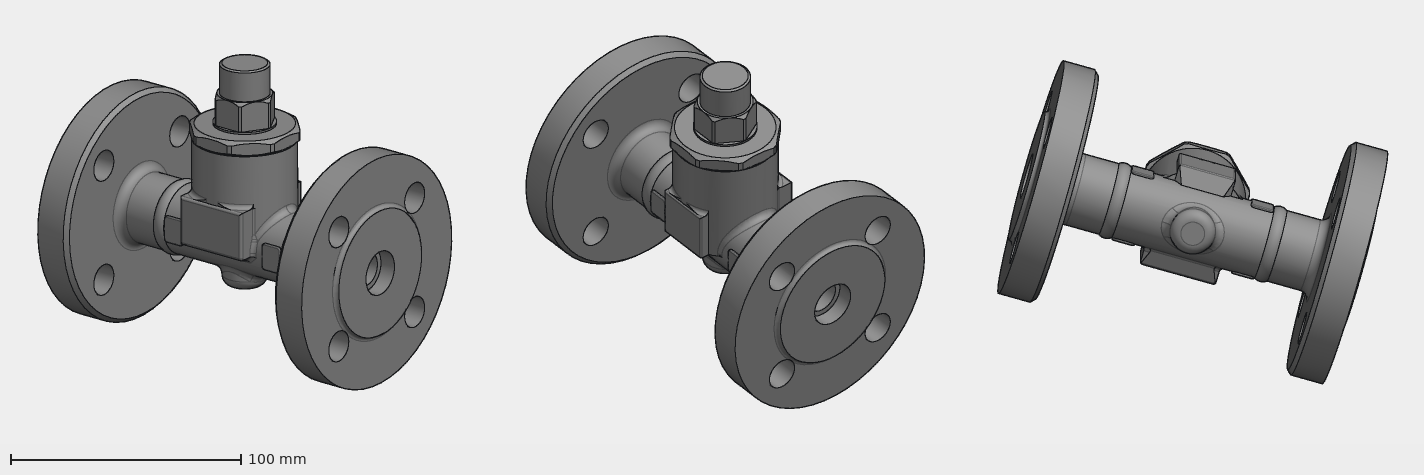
import cadquery as cq
import math

DIAGONAL = math.sqrt(0.5)
EDGE_TOLERANCE = 0.2

HALF_LENGTH = 75.0
FLANGE_DIAMETER = 105.0
FLANGE_INNER_X = 57.0
FLANGE_CHAMFER = 2.0
FACE_HEIGHT = 2.0
FACE_DIAMETER = 57.9
FACE_FILLET = FACE_HEIGHT
BOLT_CIRCLE_DIAMETER = 75.0
BOLT_HOLE_DIAMETER = 14.0
BOLT_HOLE_COUNT = 4
FIRST_BOLT_ANGLE = 45.0

PIPE_DIAMETER = 32.0
NECK_FILLET = 4.0
BEAD_DIAMETER = 33.9
BEAD_CENTER_X = 35.1
BEAD_HALF_WIDTH = 2.8

MOUTH_DIAMETER = 20.0
MOUTH_DEPTH = 7.5
BORE_DIAMETER = 15.0

BODY_DIAMETER = 46.0
BODY_TOP = 45.0
BODY_FILLET = 3.0
CAP_TOP = 51.9
CAP_FLATS = 46.5
CAP_CORNER_DIAMETER = 49.5
CAP_FACE_DIAMETER = 44.1
CAP_CHAMFER_ANGLE = 30.0
WASHER_DIAMETER = 27.8
WASHER_TOP = 52.8
NUT_TOP = 66.0
NUT_FLATS = 24.3
NUT_CORNER_DIAMETER = 27.3
NUT_FACE_DIAMETER = 24.3
NUT_CHAMFER_ANGLE = 45.0
STEM_DIAMETER = 22.0
STEM_TOP_DIAMETER = 20.0
STEM_TOP = 80.0
STEM_CHAMFER_HEIGHT = 0.6

BOSS_DIAMETER = 20.0
BOSS_BOTTOM = -23.0
BOSS_EDGE_FILLET = 4.8
BOSS_EDGE_TOP = BOSS_BOTTOM + BOSS_EDGE_FILLET
BOSS_ROOT_FILLET = 4.0

BLOCK_TOP = 20.8
BLOCK_BOTTOM = -1.0
BLOCK_DRAFT_DROP = 3.3
BLOCK_ROOT_Y = 15.0
BLOCK_ROOT_FILLET = 2.0
FRONT_BLOCK_WIDTH = 34.0
FRONT_BLOCK_Y = 24.0
FRONT_BLOCK_FILLET = 1.2
BACK_BLOCK_WIDTH = 25.4
BACK_BLOCK_Y = 23.7
BACK_BLOCK_FILLET = 0.8

PAD_CENTER_X = 27.0
PAD_WIDTH = 10.2
PAD_HEIGHT = 12.2
PAD_CORNER_RADIUS = 1.6
PAD_EDGE_FILLET = 0.5


def upright_cylinder(diameter, bottom, top):
    return cq.Workplane("XY").workplane(offset=bottom).circle(diameter / 2).extrude(top - bottom)


def make_pipe_end():
    """Pipe half, bead, neck and flange on the +X side, without holes."""
    pipe_r = PIPE_DIAMETER / 2
    flange_r = FLANGE_DIAMETER / 2
    face_r = FACE_DIAMETER / 2
    flange_outer_x = HALF_LENGTH - FACE_HEIGHT
    arc_offset = 1 - DIAGONAL
    bead_start = BEAD_CENTER_X - BEAD_HALF_WIDTH
    bead_end = BEAD_CENTER_X + BEAD_HALF_WIDTH
    neck_start = FLANGE_INNER_X - NECK_FILLET
    profile = (
        cq.Workplane("XZ")
        .moveTo(0, 0)
        .lineTo(0, pipe_r)
        .lineTo(bead_start, pipe_r)
        .threePointArc((BEAD_CENTER_X, BEAD_DIAMETER / 2), (bead_end, pipe_r))
        .lineTo(neck_start, pipe_r)
        .threePointArc(
            (FLANGE_INNER_X - arc_offset * NECK_FILLET, pipe_r + arc_offset * NECK_FILLET),
            (FLANGE_INNER_X, pipe_r + NECK_FILLET),
        )
        .lineTo(FLANGE_INNER_X, flange_r - FLANGE_CHAMFER)
        .lineTo(FLANGE_INNER_X + FLANGE_CHAMFER, flange_r)
        .lineTo(flange_outer_x, flange_r)
        .lineTo(flange_outer_x, face_r + FACE_FILLET)
        .threePointArc(
            (flange_outer_x + arc_offset * FACE_FILLET, face_r + arc_offset * FACE_FILLET),
            (HALF_LENGTH, face_r),
        )
        .lineTo(HALF_LENGTH, 0)
        .close()
    )
    return profile.revolve(360, (0, 0, 0), (1, 0, 0))


def make_end_holes():
    """Bolt holes and the stepped bore of the +X end."""
    holes = (
        cq.Workplane("YZ", origin=(FLANGE_INNER_X, 0, 0))
        .polarArray(BOLT_CIRCLE_DIAMETER / 2, FIRST_BOLT_ANGLE, 360, BOLT_HOLE_COUNT)
        .circle(BOLT_HOLE_DIAMETER / 2)
        .extrude(HALF_LENGTH - FLANGE_INNER_X)
    )
    end_plane = cq.Workplane("YZ", origin=(HALF_LENGTH, 0, 0))
    bore_depth = HALF_LENGTH - BODY_DIAMETER / 2
    mouth = end_plane.circle(MOUTH_DIAMETER / 2).extrude(-MOUTH_DEPTH)
    bore = end_plane.circle(BORE_DIAMETER / 2).extrude(-bore_depth)
    return holes.union(mouth).union(bore)


def both_ends(shape):
    """The +X shape together with its mirror image at -X."""
    return shape.union(shape.mirror("YZ"))


def make_block(width, face_y, edge_fillet):
    """Block facing -Y with a sloping, side-chamfered underside and rounded front edges."""
    root_bottom = BLOCK_BOTTOM - BLOCK_DRAFT_DROP
    side_profile = (
        cq.Workplane("YZ", origin=(-width / 2, 0, 0))
        .moveTo(0, BLOCK_TOP)
        .lineTo(-face_y, BLOCK_TOP)
        .lineTo(-face_y, BLOCK_BOTTOM)
        .lineTo(-BLOCK_ROOT_Y, root_bottom)
        .lineTo(0, root_bottom)
        .close()
        .extrude(width)
    )
    front_profile = (
        cq.Workplane("XZ")
        .moveTo(-width / 2, BLOCK_TOP)
        .lineTo(width / 2, BLOCK_TOP)
        .lineTo(width / 2, BLOCK_BOTTOM)
        .lineTo(width / 2 - BLOCK_DRAFT_DROP, root_bottom)
        .lineTo(-width / 2 + BLOCK_DRAFT_DROP, root_bottom)
        .lineTo(-width / 2, BLOCK_BOTTOM)
        .close()
        .extrude(face_y)
    )
    block = side_profile.intersect(front_profile)
    return block.faces("<Y").edges().fillet(edge_fillet)


def make_block_collar(width, face_y, edge_fillet):
    """Concave blend between the top of a -Y block and the round body."""
    body_r = BODY_DIAMETER / 2
    rim_r = body_r + BLOCK_ROOT_FILLET
    rim_z = BLOCK_TOP + BLOCK_ROOT_FILLET
    ring = (
        cq.Workplane("XZ")
        .moveTo(0, BLOCK_TOP)
        .lineTo(rim_r, BLOCK_TOP)
        .threePointArc(
            (rim_r - BLOCK_ROOT_FILLET * DIAGONAL, rim_z - BLOCK_ROOT_FILLET * DIAGONAL),
            (body_r, rim_z),
        )
        .lineTo(0, rim_z)
        .close()
        .revolve()
    )
    depth = face_y - edge_fillet
    limits = cq.Workplane("XY", origin=(0, -depth / 2, rim_z)).box(width, depth, 2 * BLOCK_ROOT_FILLET)
    return ring.intersect(limits)


def edges_passing(shape, test):
    """Edges of the shape whose bounding box passes the test."""
    return shape.newObject([edge for edge in shape.edges().vals() if test(edge.BoundingBox())])


def is_boss_root(box):
    """Edge where the drain boss meets the underside of the pipe."""
    return BOSS_EDGE_TOP < box.zmin and box.zmax < -PIPE_DIAMETER / 4


def is_saddle(box):
    """Edge where the upright body meets the crown of the pipe."""
    reaches_crown = abs(box.zmax - PIPE_DIAMETER / 2) < EDGE_TOLERANCE
    stays_above_block_bottom = box.zmin > BLOCK_BOTTOM - EDGE_TOLERANCE
    is_beside_body = box.xlen < BODY_DIAMETER / 2
    return reaches_crown and stays_above_block_bottom and is_beside_body


def is_front_block_root(box):
    """Edge where the sides and underside of the front block meet the pipe and body."""
    pipe_r = PIPE_DIAMETER / 2
    near_pipe = -pipe_r - EDGE_TOLERANCE < box.ymin and box.ymax < -BLOCK_ROOT_Y + EDGE_TOLERANCE
    inside_width = max(-box.xmin, box.xmax) < FRONT_BLOCK_WIDTH / 2 + EDGE_TOLERANCE
    return near_pipe and inside_width and box.zmax < BLOCK_TOP + EDGE_TOLERANCE


def make_center():
    """Short pipe length blended into the upright body, drain boss and side blocks."""
    pipe = (
        cq.Workplane("YZ", origin=(-BEAD_CENTER_X, 0, 0))
        .circle(PIPE_DIAMETER / 2)
        .extrude(2 * BEAD_CENTER_X)
    )
    body = upright_cylinder(BODY_DIAMETER, BLOCK_BOTTOM, BODY_TOP)
    boss = upright_cylinder(BOSS_DIAMETER, BOSS_BOTTOM, 0).faces("<Z").edges().fillet(BOSS_EDGE_FILLET)
    front = (FRONT_BLOCK_WIDTH, FRONT_BLOCK_Y, FRONT_BLOCK_FILLET)
    back = (BACK_BLOCK_WIDTH, BACK_BLOCK_Y, BACK_BLOCK_FILLET)
    center = pipe.union(body).union(boss).union(make_block(*front)).union(make_block(*back).mirror("XZ"))
    center = edges_passing(center, is_boss_root).fillet(BOSS_ROOT_FILLET)
    center = edges_passing(center, is_saddle).fillet(BODY_FILLET)
    center = edges_passing(center, is_front_block_root).fillet(BLOCK_ROOT_FILLET)
    center = center.union(make_block_collar(*front))
    return center.union(make_block_collar(*back).mirror("XZ"))


def prism_with_turned_corners(
    sides, flats, corner_diameter, face_diameter, angle, bottom, top, both_chamfered
):
    """Polygonal prism with flats facing +-Y, corners turned round and the top or both ends chamfered."""
    corner_r = corner_diameter / 2
    face_r = face_diameter / 2
    chamfer_height = (corner_r - face_r) * math.tan(math.radians(angle))
    across_corners = flats / math.cos(math.pi / sides)
    prism = (
        cq.Workplane("XY")
        .workplane(offset=bottom)
        .transformed(rotate=(0, 0, 90 - 180 / sides))
        .polygon(sides, across_corners)
        .extrude(top - bottom)
    )
    turned = upright_cylinder(corner_diameter, bottom, top)
    chamfered_faces = turned.faces("<Z or >Z") if both_chamfered else turned.faces(">Z")
    turned = chamfered_faces.edges().chamfer(chamfer_height, corner_r - face_r)
    return prism.intersect(turned)


def make_cap_stack():
    """Octagonal cap, washer, hexagonal nut and stem end."""
    cap = prism_with_turned_corners(
        8, CAP_FLATS, CAP_CORNER_DIAMETER, CAP_FACE_DIAMETER, CAP_CHAMFER_ANGLE, BODY_TOP, CAP_TOP, True)
    nut = prism_with_turned_corners(
        6, NUT_FLATS, NUT_CORNER_DIAMETER, NUT_FACE_DIAMETER, NUT_CHAMFER_ANGLE, WASHER_TOP, NUT_TOP, False)
    washer = upright_cylinder(WASHER_DIAMETER, CAP_TOP, WASHER_TOP)
    stem_chamfer = (STEM_DIAMETER - STEM_TOP_DIAMETER) / 2
    stem = upright_cylinder(STEM_DIAMETER, NUT_TOP, STEM_TOP)
    stem = stem.faces(">Z").edges().chamfer(STEM_CHAMFER_HEIGHT, stem_chamfer)
    return cap.union(washer).union(nut).union(stem)


def make_pads():
    """Bars through the pipe whose ends form flat pads on both sides."""
    pads = (
        cq.Workplane("XZ")
        .pushPoints([(-PAD_CENTER_X, 0), (PAD_CENTER_X, 0)])
        .rect(PAD_WIDTH, PAD_HEIGHT)
        .extrude(PIPE_DIAMETER / 2, both=True)
    )
    pads = pads.edges("|Y").fillet(PAD_CORNER_RADIUS)
    return pads.faces("<Y or >Y").edges().fillet(PAD_EDGE_FILLET)


end = make_pipe_end()
result = both_ends(end).union(make_center()).union(make_pads()).union(make_cap_stack())
result = result.cut(both_ends(make_end_holes()))